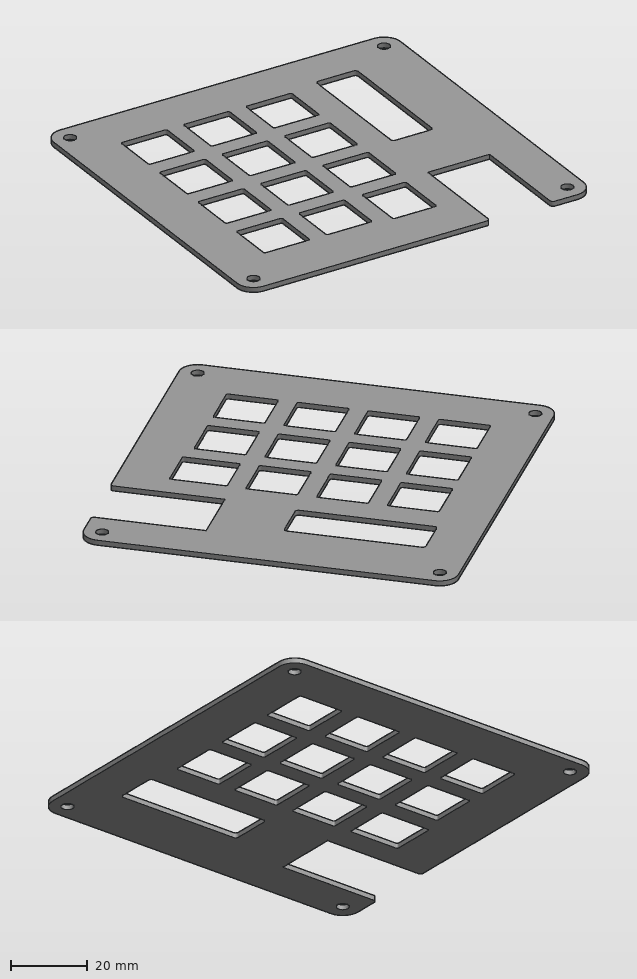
import cadquery as cq

plate_width = 101.0
plate_length = 106.0
plate_thickness = 1.5
corner_radius = 5.0

mount_hole_diameter = 3.4
mount_spacing_x = plate_width - 2 * corner_radius
mount_spacing_y = plate_length - 2 * corner_radius

key_size = 14.0
key_pitch = 19.1
key_columns = 4
key_rows = 3
first_key_x = -29.2
first_key_y = 6.9
opening_corner_radius = 0.5

encoder_width = 15.6
encoder_height = 13.4
last_key_x = first_key_x + (key_columns - 1) * key_pitch
encoder_left = last_key_x - key_size / 2
encoder_x = encoder_left + encoder_width / 2

display_width = 38.2
display_height = 12.5
display_x = -19.0
display_y = 28.7
display_corner_radius = 1.0

notch_left = 19.6
notch_bottom = 21.3
notch_height = 18.9
notch_mouth_radius = 1.0


def cut_window(body, x, y, width, height, radius):
    """Cut a rectangular opening with rounded corners through the plate."""
    window = (
        cq.Workplane("XY")
        .center(x, y)
        .rect(width, height)
        .extrude(plate_thickness)
        .edges("|Z")
        .fillet(radius)
    )
    return body.cut(window)


def make_plate():
    return (
        cq.Workplane("XY")
        .rect(plate_width, plate_length)
        .extrude(plate_thickness)
        .edges("|Z")
        .fillet(corner_radius)
    )


def cut_notch(body):
    """Cut the side notch and round the two corners at its mouth."""
    plate_right = plate_width / 2
    notch = (
        cq.Workplane("XY")
        .moveTo(notch_left, notch_bottom)
        .lineTo(plate_right, notch_bottom)
        .lineTo(plate_right, notch_bottom + notch_height)
        .lineTo(notch_left, notch_bottom + notch_height)
        .close()
        .extrude(plate_thickness)
    )
    body = body.cut(notch)
    mid_height = plate_thickness / 2
    for mouth_y in (notch_bottom, notch_bottom + notch_height):
        mouth_edge = cq.selectors.NearestToPointSelector((plate_right, mouth_y, mid_height))
        body = body.edges("|Z").edges(mouth_edge).fillet(notch_mouth_radius)
    return body


def cut_mount_holes(body):
    holes = (
        cq.Workplane("XY")
        .rect(mount_spacing_x, mount_spacing_y, forConstruction=True)
        .vertices()
        .circle(mount_hole_diameter / 2)
        .extrude(plate_thickness)
    )
    return body.cut(holes)


def cut_keypad(body):
    """Cut the key grid, with the encoder opening at its top right place."""
    for row in range(key_rows):
        y = first_key_y - row * key_pitch
        for column in range(key_columns):
            x = first_key_x + column * key_pitch
            is_encoder = row == 0 and column == key_columns - 1
            if is_encoder:
                body = cut_window(
                    body, encoder_x, y, encoder_width, encoder_height, opening_corner_radius
                )
            else:
                body = cut_window(body, x, y, key_size, key_size, opening_corner_radius)
    return body


plate = cut_notch(make_plate())
plate = cut_mount_holes(plate)
plate = cut_window(
    plate, display_x, display_y, display_width, display_height, display_corner_radius
)
result = cut_keypad(plate)